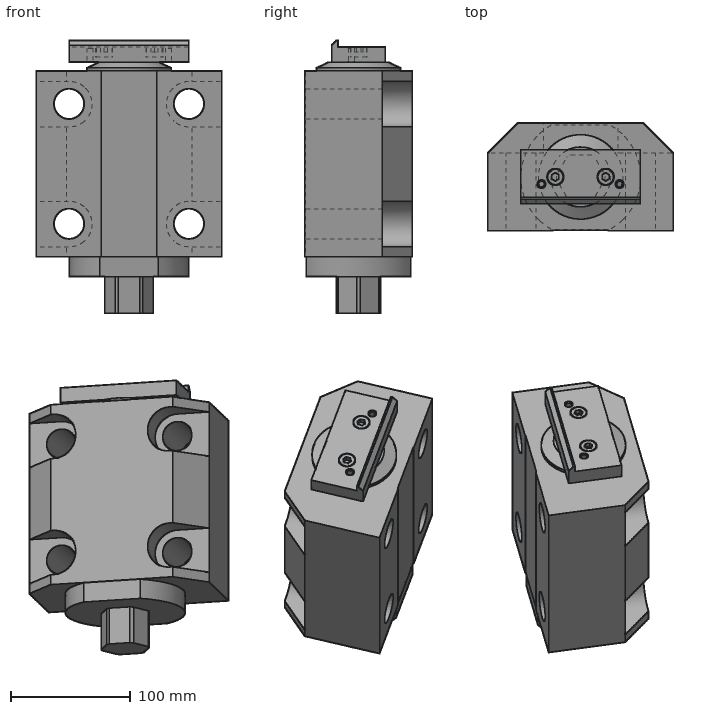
import cadquery as cq
import math

block_size = 155.0
block_depth = 90.0
corner_cut = 25.0
front_y = -block_depth / 2
back_y = block_depth / 2
half_block = block_size / 2

relief_width = 46.0
relief_depth = 0.5

bolt_spacing = 100.0
bolt_diameter = 25.0
spotface_diameter = 38.0
spotface_depth = corner_cut

collar_radius = 35.25
collar_rim_height = 2.5
collar_height = 7.4
collar_top_radius = 25.0

flange_diameter = 100.0
flange_width = 87.3
flange_height = 16.5
hex_across_flats = 36.8
hex_corner_diameter = 40.8
hex_length = 30.8

plate_length = 100.0
plate_width = 45.0
plate_thickness = 12.6
lip_width = 5.5
lip_height = 5.5
lip_bevel = 4.0
plate_front_y = -plate_width / 2
plate_bottom_z = half_block + collar_height
plate_top_z = plate_bottom_z + plate_thickness
lip_top_z = plate_top_z + lip_height

screw_x = 21.0
counterbore_diameter = 14.0
head_diameter = 13.0
head_height = 8.0
socket_across_flats = 6.0
socket_depth = 4.0

jack_x = 32.6
jack_y = -6.0
jack_diameter = 5.0
jack_mouth_diameter = 7.0


def hexagon_across_corners(across_flats):
    return across_flats / math.cos(math.pi / 6)


def make_block():
    """Square block with its two rear vertical corners cut off at 45 degrees."""
    outline = [
        (-half_block, front_y),
        (half_block, front_y),
        (half_block, back_y - corner_cut),
        (half_block - corner_cut, back_y),
        (-half_block + corner_cut, back_y),
        (-half_block, back_y - corner_cut),
    ]
    block = cq.Workplane("XY").workplane(offset=-half_block).polyline(outline).close().extrude(block_size)

    relief = cq.Workplane("XY").box(relief_width, 2 * relief_depth, block_size)
    block = block.cut(relief.translate((0, front_y, 0)))

    bolt_holes = (
        cq.Workplane("XZ", origin=(0, back_y, 0))
        .rarray(bolt_spacing, bolt_spacing, 2, 2)
        .circle(bolt_diameter / 2)
        .extrude(block_depth)
    )
    block = block.cut(bolt_holes)

    for side in (-1, 1):
        for level in (-1, 1):
            block = block.cut(make_spotface(side, level))
    return block


def make_spotface(side, level):
    """Round-ended rear pocket around a bolt hole, open towards the side of the block."""
    hole_x = side * bolt_spacing / 2
    hole_z = level * bolt_spacing / 2
    run_out = half_block - bolt_spacing / 2
    back_face = cq.Workplane("XZ", origin=(hole_x, back_y, hole_z))
    round_end = back_face.circle(spotface_diameter / 2).extrude(spotface_depth)
    open_side = back_face.center(side * run_out / 2, 0).rect(run_out, spotface_diameter).extrude(spotface_depth)
    return round_end.union(open_side)


def make_collar():
    """Short cylindrical rim that tapers to the flat seat of the plate."""
    profile = [
        (0, half_block),
        (collar_radius, half_block),
        (collar_radius, half_block + collar_rim_height),
        (collar_top_radius, plate_bottom_z),
        (0, plate_bottom_z),
    ]
    return cq.Workplane("XZ").polyline(profile).close().revolve(360, (0, 0, 0), (0, 1, 0))


def make_flange():
    """Round flange with flats at front and rear."""
    below_block = cq.Workplane("XY", origin=(0, 0, -half_block))
    disc = below_block.circle(flange_diameter / 2).extrude(-flange_height)
    return disc.intersect(below_block.rect(flange_diameter, flange_width).extrude(-flange_height))


def make_hex_drive():
    """Hexagon with corners turned down to a circle, flats facing front and rear."""
    below_flange = cq.Workplane("XY", origin=(0, 0, -half_block - flange_height))
    hexagon = below_flange.polygon(6, hexagon_across_corners(hex_across_flats)).extrude(-hex_length)
    return hexagon.intersect(below_flange.circle(hex_corner_diameter / 2).extrude(-hex_length))


def make_base():
    return make_block().union(make_collar()).union(make_flange()).union(make_hex_drive())


def make_plate():
    """Plate with a bevelled front lip, two recessed screw heads and two jacking holes."""
    lip_back_y = plate_front_y + lip_width
    profile = [
        (plate_front_y, plate_bottom_z),
        (-plate_front_y, plate_bottom_z),
        (-plate_front_y, plate_top_z),
        (lip_back_y, plate_top_z),
        (lip_back_y, lip_top_z),
        (plate_front_y + lip_bevel, lip_top_z),
        (plate_front_y, lip_top_z - lip_bevel),
    ]
    plate = (
        cq.Workplane("YZ", origin=(-plate_length / 2, 0, 0))
        .polyline(profile)
        .close()
        .extrude(plate_length)
    )
    for side in (-1, 1):
        plate = plate.cut(make_screw_recess(side * screw_x))
        plate = plate.cut(make_jack_hole(side * jack_x))
    return plate


def make_screw_recess(x):
    """Ring gap around a flush screw head, together with the head's hexagon socket."""
    plate_top = cq.Workplane("XY", origin=(x, 0, plate_top_z))
    gap = plate_top.circle(counterbore_diameter / 2).circle(head_diameter / 2).extrude(-head_height)
    socket = (
        plate_top.transformed(rotate=(0, 0, 90))
        .polygon(6, hexagon_across_corners(socket_across_flats))
        .extrude(-socket_depth)
    )
    return gap.union(socket)


def make_jack_hole(x):
    """Through hole with a 45-degree countersunk mouth."""
    hole_radius = jack_diameter / 2
    mouth_radius = jack_mouth_diameter / 2
    profile = [
        (0, -plate_thickness),
        (hole_radius, -plate_thickness),
        (hole_radius, hole_radius - mouth_radius),
        (mouth_radius, 0),
        (0, 0),
    ]
    return (
        cq.Workplane("XZ", origin=(x, jack_y, plate_top_z))
        .polyline(profile)
        .close()
        .revolve(360, (0, 0, 0), (0, 1, 0))
    )


base = make_base()
plate = make_plate()
result = cq.Compound.makeCompound([base.solids().val(), plate.solids().val()])